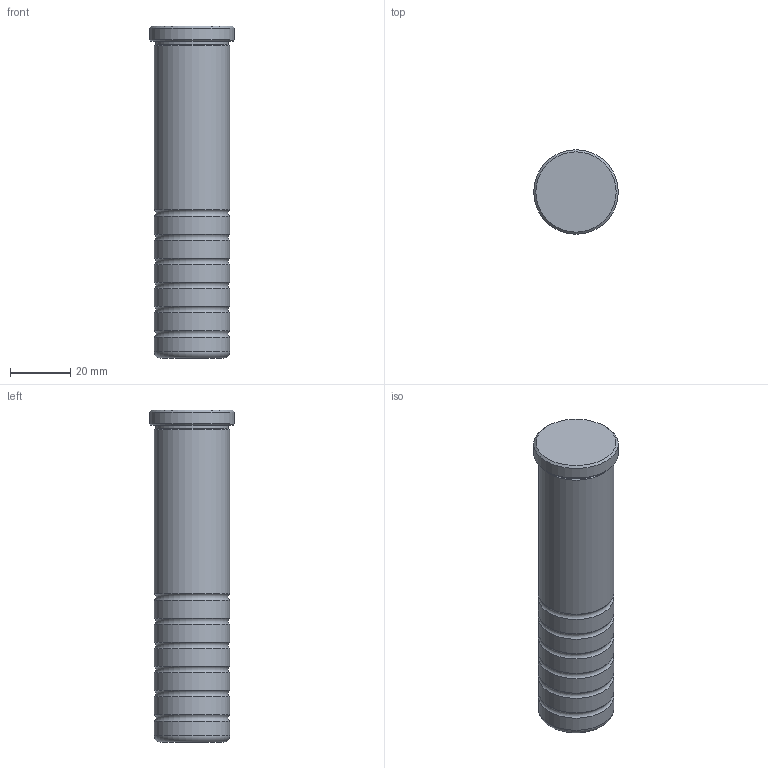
import cadquery as cq

total_length = 110.0
body_radius = 12.5
bottom_round = 2.0

head_radius = 14.0
head_height = 5.0
head_top_chamfer = 0.7
head_bottom_chamfer = 0.4

neck_radius = 12.0
neck_height = 1.2
shoulder_chamfer = 0.3

groove_count = 6
groove_pitch = 8.0
lowest_groove_z = 8.0
groove_width = 2.13
groove_depth = 0.6

head_bottom_z = total_length - head_height
shoulder_z = head_bottom_z - neck_height


def make_body():
    body = cq.Workplane("XY").circle(body_radius).extrude(shoulder_z)
    body = body.faces("<Z").edges().fillet(bottom_round)
    return body.faces(">Z").edges().chamfer(shoulder_chamfer)


def make_neck():
    return cq.Workplane("XY").workplane(offset=shoulder_z).circle(neck_radius).extrude(neck_height)


def make_head():
    head = cq.Workplane("XY").workplane(offset=head_bottom_z).circle(head_radius).extrude(head_height)
    head = head.faces(">Z").edges().chamfer(head_top_chamfer)
    return head.faces("<Z").edges().chamfer(head_bottom_chamfer)


def make_groove_ring(center_z):
    """Ring whose section is an arc bulging toward the axis."""
    section = (
        cq.Workplane("XZ")
        .moveTo(body_radius, center_z - groove_width / 2)
        .threePointArc(
            (body_radius - groove_depth, center_z),
            (body_radius, center_z + groove_width / 2),
        )
        .close()
    )
    return section.revolve(360, (0, 0, 0), (0, 1, 0))


grip = make_body()
for groove_index in range(groove_count):
    grip = grip.cut(make_groove_ring(lowest_groove_z + groove_index * groove_pitch))

result = grip.union(make_neck()).union(make_head())